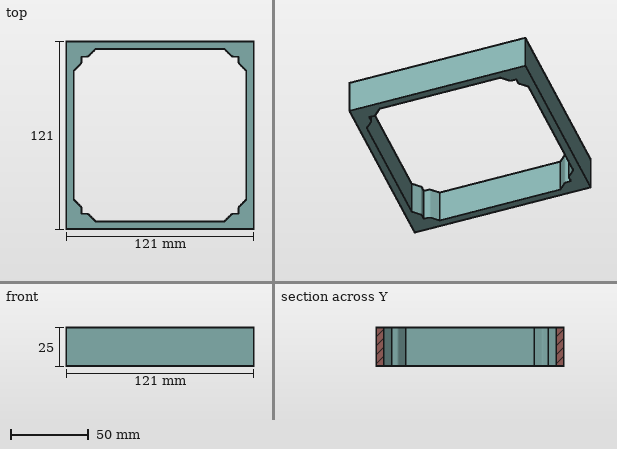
import cadquery as cq

frame_side = 121.0
frame_height = 25.0
wall = 5.0
corner_cut = 14.0
notch_inset = 10.0
notch_edge_radius = 2.0

opening_side = frame_side - 2 * wall
notch_side = frame_side - 2 * notch_inset


def square_prism(side):
    """Square block of full frame height, standing on the XY plane."""
    return cq.Workplane("XY").rect(side, side).extrude(frame_height)


def octagonal_opening():
    """Square opening with its four corners cut off at 45 degrees."""
    return square_prism(opening_side).edges("|Z").chamfer(corner_cut)


def round_notch_edges(frame):
    """Round the edges where the corner notches break out of the 45 degree faces."""
    to_wall = notch_side / 2
    along_wall = opening_side - corner_cut - to_wall
    mid_height = frame_height / 2
    for x_sign in (-1, 1):
        for y_sign in (-1, 1):
            for x_size, y_size in ((to_wall, along_wall), (along_wall, to_wall)):
                edge_point = (x_sign * x_size, y_sign * y_size, mid_height)
                edge = frame.edges(cq.selectors.NearestToPointSelector(edge_point))
                frame = edge.fillet(notch_edge_radius)
    return frame


frame = square_prism(frame_side).cut(octagonal_opening()).cut(square_prism(notch_side))
result = round_notch_edges(frame)